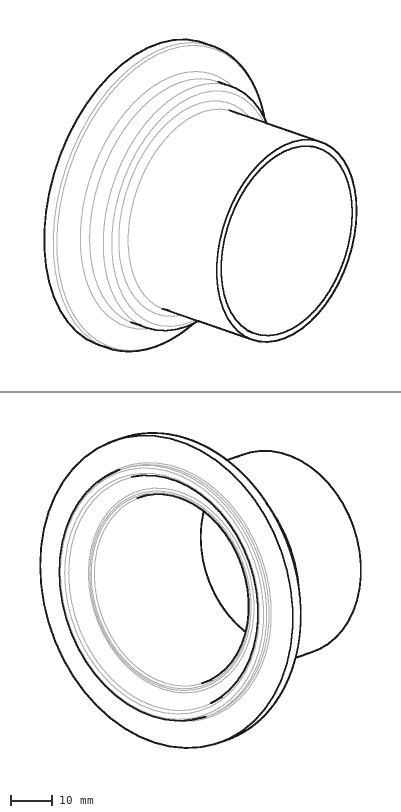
import cadquery as cq
import math

length = 46.0
flange_diameter = 77.5
rim_diameter = 63.4
collar_diameter = 62
tube_diameter = 50.8
bore_diameter = 47.5
groove_diameter = 58.3
groove_bottom_diameter = 55

flange_front = 1.85
flange_corner = 5.3
collar_end = 15.5
lip_front = 3.3
groove_bottom = 4.2

flange_back_angle = 21

lip_slope_angle = 50

rim_outer_round = 0.55
rim_inner_round = 0.7
rim_root_round = 0.4
flange_edge_round = 0.8
flange_root_round = 2.0
collar_edge_round = 1.5
collar_root_round = 1.6
lip_bore_round = 0.55
lip_groove_round = 0.85

flange_radius = flange_diameter / 2
rim_radius = rim_diameter / 2
collar_radius = collar_diameter / 2
tube_radius = tube_diameter / 2
bore_radius = bore_diameter / 2
groove_radius = groove_diameter / 2
groove_bottom_radius = groove_bottom_diameter / 2

cone_drop = flange_radius - collar_radius
cone_end = flange_corner + cone_drop * math.tan(math.radians(flange_back_angle))

match_tolerance = 0.0001


def revolve(profile):
    """Turn a profile of (x, radius) points about the X axis."""
    return profile.close().revolve(360, (0, 0, 0), (1, 0, 0))


def circle_edge(solid, x, radius):
    """Select the circular edge with the given place and radius."""
    edges = [
        edge
        for edge in solid.edges("%CIRCLE").vals()
        if abs(edge.radius() - radius) < match_tolerance and abs(edge.Center().x - x) < match_tolerance
    ]
    return solid.newObject(edges)


def make_body():
    """Rim, coned flange, collar and tube as one sharp-edged turned body."""
    profile = cq.Workplane("XY").polyline(
        [
            (0, 0),
            (0, rim_radius),
            (flange_front, rim_radius),
            (flange_front, flange_radius),
            (flange_corner, flange_radius),
            (cone_end, collar_radius),
            (collar_end, collar_radius),
            (collar_end, tube_radius),
            (length, tube_radius),
            (length, 0),
        ]
    )
    return revolve(profile)


def round_outside(body):
    """Round the outer edges and corners of the turned body."""
    rounds = [
        (0, rim_radius, rim_outer_round),
        (flange_front, rim_radius, rim_root_round),
        (flange_corner, flange_radius, flange_edge_round),
        (cone_end, collar_radius, flange_root_round),
        (collar_end, collar_radius, collar_edge_round),
        (collar_end, tube_radius, collar_root_round),
    ]
    for x, radius, size in rounds:
        body = circle_edge(body, x, radius).fillet(size)
    return body


def make_cavity():
    """Bore, rounded inner lip, smooth groove behind the rim and rounded rim mouth."""
    bore_corner = lip_bore_round * (1 - math.sqrt(0.5))
    mouth_corner = rim_inner_round * (1 - math.sqrt(0.5))

    slope = math.radians(lip_slope_angle)
    lip_face_radius = tube_radius - lip_groove_round * math.sin(slope)
    lip_middle = (
        lip_front + lip_groove_round * (1 - math.cos(slope / 2)),
        lip_face_radius + lip_groove_round * math.sin(slope / 2),
    )
    lip_end = (lip_front + lip_groove_round * (1 - math.cos(slope)), tube_radius)

    profile = (
        cq.Workplane("XY")
        .moveTo(0, 0)
        .lineTo(length, 0)
        .lineTo(length, bore_radius)
        .lineTo(lip_front + lip_bore_round, bore_radius)
        .threePointArc(
            (lip_front + bore_corner, bore_radius + bore_corner),
            (lip_front, bore_radius + lip_bore_round),
        )
        .lineTo(lip_front, lip_face_radius)
        .threePointArc(lip_middle, lip_end)
        .spline(
            [(groove_bottom, groove_bottom_radius), (rim_inner_round, groove_radius)],
            tangents=[(math.sin(slope), math.cos(slope)), (-1, 0)],
            includeCurrent=True,
        )
        .threePointArc(
            (mouth_corner, groove_radius + mouth_corner),
            (0, groove_radius + rim_inner_round),
        )
    )
    return revolve(profile)


result = round_outside(make_body()).cut(make_cavity())